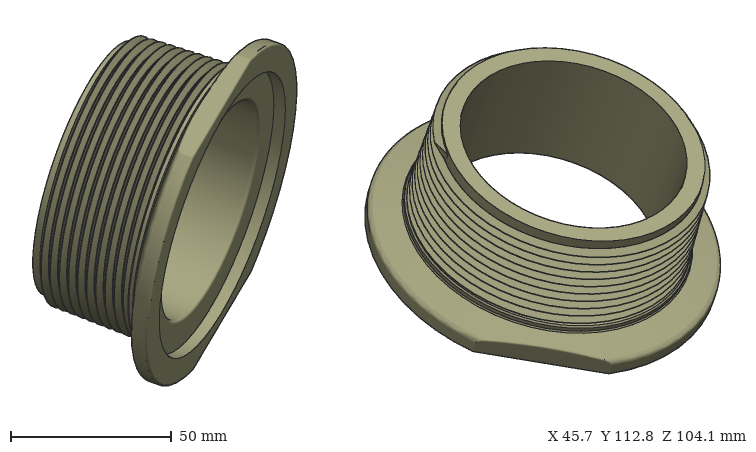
import cadquery as cq
import math

length = 45.7
small_round = 0.6

flange_radius = 112.8 / 2
flats_width = 104.1
cone_angle = math.radians(20)
cone_base_x = 36.4
flange_front_round = 2.0
flange_back_round = 0.8

bore_radius = 72.4 / 2
bore_round = 1.0
recess_radius = 94.3 / 2
recess_depth = 4.0

collar_radius = 92.0 / 2
collar_x = 34.2

root_radius = 42.0
taper = 1 / 32
thread_depth = 2.4
crest_width = 0.2
flank_angle = math.radians(30)
first_crest_x = 2.3
thread_length = 33.6
turns = 10.6
pitch = thread_length / turns
start_angle = -18
lead_in_length = 7.9
lead_in_height = 2.0
thread_sink = 0.3


def root_radius_at(x):
    return root_radius + taper * x


def make_body():
    """Revolve the core, the collar and the flange about X, without the bore."""
    cone_end_x = cone_base_x + (flange_radius - collar_radius) * math.tan(cone_angle)
    tangent_length = flange_front_round * math.tan((math.pi / 2 - cone_angle) / 2)
    arc_center_x = cone_end_x + tangent_length
    arc_center_y = flange_radius - flange_front_round
    rim_direction = math.pi / 2
    cone_direction = math.pi - cone_angle

    def arc_point(direction):
        return (
            arc_center_x + flange_front_round * math.cos(direction),
            arc_center_y + flange_front_round * math.sin(direction),
        )

    return (
        cq.Workplane("XY")
        .lineTo(0, root_radius)
        .lineTo(collar_x, root_radius_at(collar_x))
        .lineTo(collar_x, collar_radius - small_round)
        .lineTo(collar_x + small_round, collar_radius)
        .lineTo(cone_base_x, collar_radius)
        .lineTo(*arc_point(cone_direction))
        .threePointArc(arc_point((cone_direction + rim_direction) / 2), arc_point(rim_direction))
        .lineTo(length, flange_radius)
        .lineTo(length, 0)
        .close()
        .revolve(360, (0, 0, 0), (1, 0, 0))
    )


def cut_flats(body):
    """Cut the two flats of the flange, then round their edges and the back rim."""
    slab = cq.Workplane("XY").box(length, 2 * flange_radius, flats_width, centered=(False, True, True))
    body = body.intersect(slab)
    body = body.faces("<Z or >Z").edges("not(>X)").fillet(small_round)
    return body.faces(">X").edges().fillet(flange_back_round)


def round_cone_base(body):
    """Round the inside corner between the collar and the cone."""
    corner = cq.selectors.NearestToPointSelector((cone_base_x, 0, 0))
    return body.edges("%CIRCLE").edges(corner).fillet(small_round)


def make_thread():
    """Sweep one V-shaped ridge along a conical helix with a ramp at its start."""
    start_radius = root_radius_at(first_crest_x)
    half_crest = crest_width / 2
    half_base = half_crest + thread_depth * math.tan(flank_angle)
    helix = cq.Wire.makeHelix(
        pitch,
        thread_length,
        start_radius,
        center=cq.Vector(first_crest_x, 0, 0),
        dir=cq.Vector(1, 0, 0),
        angle=math.degrees(math.atan(taper)),
    )
    ridge = cq.Workplane("XZ", origin=(first_crest_x, 0, start_radius)).polyline(
        [
            (-half_base, -thread_sink),
            (-half_base, 0),
            (-half_crest, thread_depth),
            (half_crest, thread_depth),
            (half_base, 0),
            (half_base, -thread_sink),
        ]
    )
    thread = ridge.close().sweep(cq.Workplane(helix), isFrenet=True)
    thread = thread.cut(make_lead_in_cutter(start_radius, half_base))
    return thread.rotate((0, 0, 0), (1, 0, 0), start_angle - 90)


def make_lead_in_cutter(start_radius, half_base):
    """Wedge that trims the first stretch of a ridge starting on +Z to a flat ramp."""
    clearance = 1.1
    first_ridge_end_x = first_crest_x + half_base + crest_width / 2
    return (
        cq.Workplane("YZ")
        .polyline(
            [
                (clearance, start_radius),
                (0, start_radius),
                (-lead_in_length, start_radius + lead_in_height),
                (clearance, start_radius + thread_depth + clearance),
            ]
        )
        .close()
        .extrude(first_ridge_end_x)
    )


def cut_bore(body):
    """Cut the through bore and the recess in the back of the flange, then round the edge between them."""
    bore = cq.Workplane("YZ").circle(bore_radius).extrude(length)
    recess = cq.Workplane("YZ", origin=(length, 0, 0)).circle(recess_radius).extrude(-recess_depth)
    body = body.cut(bore).cut(recess)
    bore_edge = cq.selectors.RadiusNthSelector(0)
    return body.faces("%PLANE and |X").faces(">X[-2]").edges(bore_edge).fillet(bore_round)


body = make_body()
body = cut_flats(body)
body = round_cone_base(body)
body = cut_bore(body)
result = body.union(make_thread())